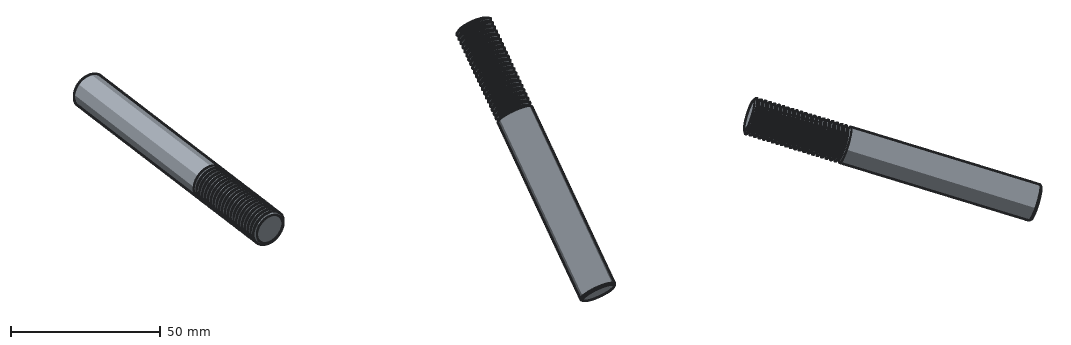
import cadquery as cq
import math

rod_length = 101.6
rod_radius = 12.7 / 2
left_chamfer = 0.5

grooved_length = 34.0
ridge_count = 21
end_slope_width = 0.7
groove_depth = 1.0
crest_flat = 0.14
flank_angle = 30.0

ridge_pitch = (grooved_length - end_slope_width) / ridge_count
flank_width = groove_depth * math.tan(math.radians(flank_angle))
half_crest = crest_flat / 2
half_ridge = half_crest + flank_width

left_end = -rod_length / 2
right_end = rod_length / 2
shoulder = right_end - grooved_length
root_radius = rod_radius - groove_depth


def half_profile():
    """Half outline of the rod as (X, radius) points, starting and ending on the axis."""
    points = [
        (left_end, 0),
        (left_end, rod_radius - left_chamfer),
        (left_end + left_chamfer, rod_radius),
        (shoulder, rod_radius),
    ]
    points.append((shoulder + end_slope_width, root_radius))
    for ridge in range(1, ridge_count + 1):
        crest = shoulder + ridge * ridge_pitch
        points.append((crest - half_ridge, root_radius))
        points.append((crest - half_crest, rod_radius))
        points.append((crest + half_crest, rod_radius))
        if ridge < ridge_count:
            points.append((crest + half_ridge, root_radius))
    points.append((right_end, root_radius))
    points.append((right_end, 0))
    return points


axis_start = (0, 0, 0)
axis_end = (1, 0, 0)
result = cq.Workplane("XY").polyline(half_profile()).close().revolve(360, axis_start, axis_end)